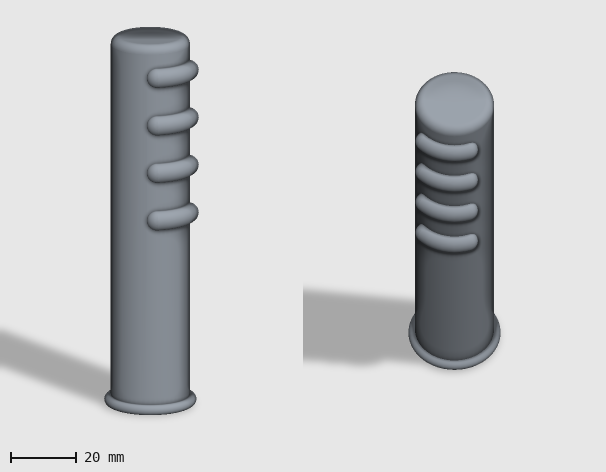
import cadquery as cq

height = 116.0
post_diameter = 24.0
top_fillet = 2.5

rim_diameter = 28.0
rim_height = 3.1

rib_count = 4
rib_pitch = 15.0
rib_radius = 3.0
rib_half_angle = 33.5
top_rib_drop = 10.0
rib_path_radius = post_diameter / 2


def make_post():
    post = cq.Workplane("XY").circle(post_diameter / 2).extrude(height)
    return post.faces(">Z").edges().fillet(top_fillet)


def make_rim():
    """A disc whose edge is a full half-round."""
    flat_radius = rim_diameter / 2 - rim_height / 2
    return (
        cq.Workplane("XZ")
        .lineTo(flat_radius, 0)
        .threePointArc((rim_diameter / 2, rim_height / 2), (flat_radius, rim_height))
        .lineTo(0, rim_height)
        .close()
        .revolve(360, (0, 0), (0, 1))
    )


def make_rib_end(side, z):
    """A half ball that closes one end of a rib, facing away from the bar."""
    half_ball = (
        cq.Workplane("XZ")
        .moveTo(0, -rib_radius)
        .threePointArc((rib_radius, 0), (0, rib_radius))
        .close()
        .revolve(180, (0, 0), (0, 1))
    )
    if side < 0:
        half_ball = half_ball.rotate((0, 0, 0), (0, 0, 1), 180)
    return (
        half_ball.translate((rib_path_radius, 0, z))
        .rotate((0, 0, 0), (0, 0, 1), side * rib_half_angle)
    )


def make_rib(z):
    """A round bar following the post surface, with a half ball at each end."""
    bar = (
        cq.Workplane("XZ")
        .center(rib_path_radius, z)
        .circle(rib_radius)
        .revolve(2 * rib_half_angle, (-rib_path_radius, 0), (-rib_path_radius, 1))
        .rotate((0, 0, 0), (0, 0, 1), -rib_half_angle)
    )
    return bar.union(make_rib_end(-1, z)).union(make_rib_end(1, z))


result = make_post().union(make_rim())
for index in range(rib_count):
    rib_z = height - top_rib_drop - index * rib_pitch
    result = result.union(make_rib(rib_z))